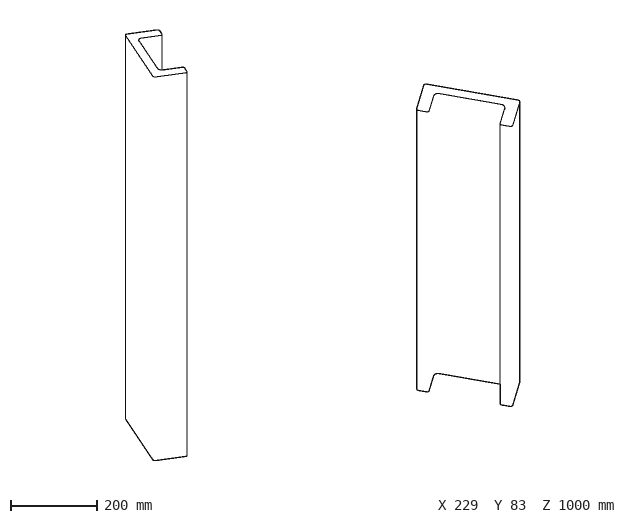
import cadquery as cq

length = 1000.0
width = 229.0
depth = 83.0
flange_thickness = 30.0
web_thickness = 22.0

outer_radius = 6.0
inner_radius = 10.0
inner_tip_radius = 5.0

inner_width = width - 2 * flange_thickness
cavity_depth = depth - web_thickness

outer = (
    cq.Workplane("XY")
    .box(width, depth, length, centered=(True, False, False))
    .edges("|Z")
    .fillet(outer_radius)
)

cavity = (
    cq.Workplane("XY")
    .box(inner_width, cavity_depth, length, centered=(True, False, False))
    .translate((0, web_thickness, 0))
    .edges("|Z and <Y")
    .fillet(inner_radius)
)

channel = outer.cut(cavity)

tip_corners = cq.selectors.BoxSelector(
    (-inner_width / 2 - inner_tip_radius, depth - inner_tip_radius, 0),
    (inner_width / 2 + inner_tip_radius, depth + inner_tip_radius, length),
)
result = channel.edges("|Z").edges(tip_corners).fillet(inner_tip_radius)